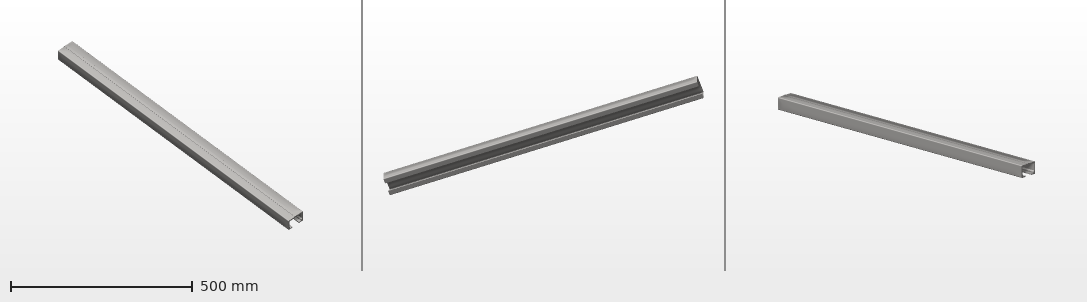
import cadquery as cq

length = 914.4
width = 55.0
height = 37.0
side_wall = 3.0
top_wall = 4.5
lip_thickness = 3.5
slot_width = 25.0
outer_corner_radius = 2.5

rib_width = 8.0
rib_height = 1.0

ledge_width = 3.5
ledge_height = 6.5
ledge_chamfer = 3.0

body_height = height - rib_height
inner_width = width - 2 * side_wall


def bar(y_size, z_size, y_center, z_bottom):
    """Full-length bar with the given rectangular cross-section."""
    return (
        cq.Workplane("XY")
        .box(length, y_size, z_size, centered=(True, True, False))
        .translate((0, y_center, z_bottom))
    )


def make_channel():
    """Bar with rounded long edges, less the hollow inside and the slot below."""
    outer = bar(width, body_height, 0, 0).edges("|X").fillet(outer_corner_radius)
    hollow = bar(inner_width, body_height - top_wall - lip_thickness, 0, lip_thickness)
    slot = bar(slot_width, lip_thickness, 0, 0)
    return outer.cut(hollow).cut(slot)


def make_top_rib():
    return bar(rib_width, rib_height, 0, body_height)


def make_ledge(side):
    """Ledge standing on a lip against its wall; side is +1 or -1 along Y."""
    y_center = side * (inner_width - ledge_width) / 2
    inner_top_edge = "|X and >Z and <Y" if side > 0 else "|X and >Z and >Y"
    ledge = bar(ledge_width, ledge_height, y_center, lip_thickness)
    return ledge.edges(inner_top_edge).chamfer(ledge_chamfer)


result = make_channel().union(make_top_rib())
for side in (-1, 1):
    result = result.union(make_ledge(side))